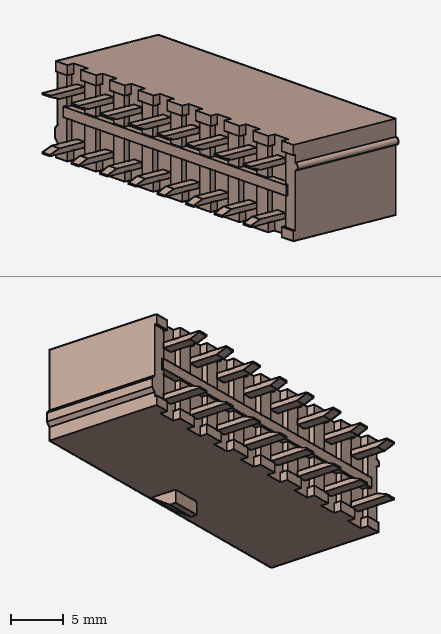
import cadquery as cq

body_width = 34.8
body_depth = 12.8
body_height = 9.6

face_recess = 0.2
pocket_depth = 0.82
lip_height = 1.05
pocket_width = 2.65
notch_width = 2.0
bar_height = 1.07
bar_end_gap = 1.07

column_count = 8
column_pitch = 4.2
row_pitch = 5.5
lower_row_z = 1.9
pin_width = 1.15
pin_thickness = 0.57
pin_reach = 3.5
taper_length = 1.15
tip_thickness = 0.15

key_reach = 0.4
key_base_height = 1.78
key_top_height = 0.93
key_z = 2.3
bead_radius = 0.4
bead_z = 7.4

latch_width = 3.35
latch_drop = 1.4
latch_ramp_gap = 0.18
latch_tip_gap = 2.4
latch_catch_gap = 3.1

half_width = body_width / 2
mid_z = body_height / 2
column_xs = [(i - (column_count - 1) / 2) * column_pitch for i in range(column_count)]


def block(width, y_start, y_end, z_start, z_end, x=0):
    """Box centred on the given X, between two Y and two Z levels."""
    return (
        cq.Workplane("XY")
        .box(width, y_end - y_start, z_end - z_start, centered=(True, False, False))
        .translate((x, y_start, z_start))
    )


def along_x(points, width, x=0):
    """Prism with a (Y, Z) outline, centred on the given X."""
    return cq.Workplane("YZ").polyline(points).close().extrude(width / 2, both=True).translate((x, 0, 0))


def make_housing():
    """Block with a recessed pin face, open pockets and a bar across the middle."""
    lip_top = body_height - lip_height
    housing = block(body_width, 0, body_depth, 0, body_height)
    housing = housing.cut(block(body_width, 0, face_recess, lip_height, lip_top))
    for x in column_xs:
        housing = housing.cut(block(pocket_width, 0, pocket_depth, lip_height, lip_top, x))
        housing = housing.cut(block(notch_width, 0, pocket_depth, 0, body_height, x))
    bar_width = body_width - 2 * bar_end_gap
    bar = block(bar_width, 0, pocket_depth, mid_z - bar_height / 2, mid_z + bar_height / 2)
    return housing.union(bar)


def make_pin(x, z, bevel_side):
    """Flat pin whose tip is bevelled on one side: +1 for the top, -1 for the bottom."""
    flat_z = z - bevel_side * pin_thickness / 2
    bevel_z = z + bevel_side * pin_thickness / 2
    tip_z = flat_z + bevel_side * tip_thickness
    outline = [
        (pocket_depth, flat_z),
        (-pin_reach, flat_z),
        (-pin_reach, tip_z),
        (taper_length - pin_reach, bevel_z),
        (pocket_depth, bevel_z),
    ]
    return along_x(outline, pin_width, x)


def make_key():
    """Rib with a trapezoid section along the -X side."""
    outline = [
        (-half_width, key_z - key_base_height / 2),
        (-half_width - key_reach, key_z - key_top_height / 2),
        (-half_width - key_reach, key_z + key_top_height / 2),
        (-half_width, key_z + key_base_height / 2),
    ]
    length = body_depth - face_recess
    return cq.Workplane("XZ", origin=(0, body_depth, 0)).polyline(outline).close().extrude(length)


def make_bead():
    """Half-round rib along the +X side."""
    length = body_depth - face_recess
    return (
        cq.Workplane("XZ", origin=(half_width, body_depth, bead_z))
        .moveTo(0, -bead_radius)
        .threePointArc((bead_radius, 0), (0, bead_radius))
        .close()
        .extrude(length)
    )


def make_latch():
    """Ramped hook under the back of the housing."""
    outline = [
        (body_depth - latch_ramp_gap, 0),
        (body_depth - latch_tip_gap, -latch_drop),
        (body_depth - latch_catch_gap, -latch_drop),
        (body_depth - latch_catch_gap, 0),
    ]
    return along_x(outline, latch_width)


result = make_housing()
for column_x in column_xs:
    result = result.union(make_pin(column_x, lower_row_z, 1))
    result = result.union(make_pin(column_x, lower_row_z + row_pitch, -1))
result = result.union(make_key()).union(make_bead()).union(make_latch())